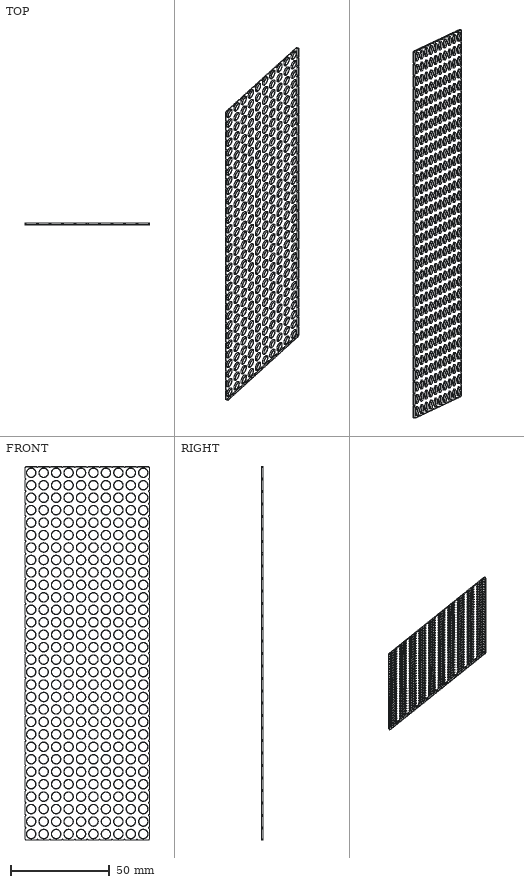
import cadquery as cq

height = 190.5
columns = 10
rows = 30
thickness = 0.97
hole_gap = 1.73
notch_depth = 0.51

pitch = height / rows
width = columns * pitch
hole_diameter = pitch - hole_gap
cutter_reach = thickness


def make_sheet():
    return cq.Workplane("XZ").box(width, height, thickness)


def make_hole_cutters():
    return (
        cq.Workplane("XZ")
        .rarray(pitch, pitch, columns, rows)
        .circle(hole_diameter / 2)
        .extrude(cutter_reach, both=True)
    )


def rim_points():
    """Points on the rim where cell boundaries end, including the four corners."""
    points = []
    for column in range(columns + 1):
        x = -width / 2 + column * pitch
        points += [(x, -height / 2), (x, height / 2)]
    for row in range(1, rows):
        z = -height / 2 + row * pitch
        points += [(-width / 2, z), (width / 2, z)]
    return points


def make_notch_cutters():
    """Diamonds centred on the rim: half of each cuts a 90 degree V, a quarter chamfers a corner."""
    return (
        cq.Workplane("XZ")
        .pushPoints(rim_points())
        .polygon(4, 2 * notch_depth)
        .extrude(cutter_reach, both=True)
    )


result = make_sheet().cut(make_hole_cutters()).cut(make_notch_cutters())